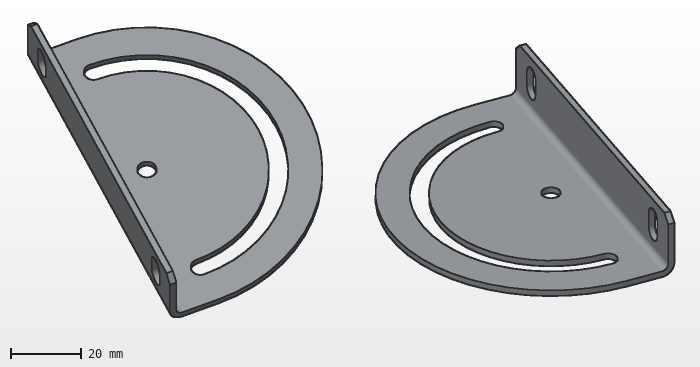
import cadquery as cq
import math

width = 100.0
height = 20.0
thickness = 2.0
inner_bend_radius = 2.0
front_offset = 15.0

pivot_diameter = 5.5
arc_slot_radius = 37.5
arc_slot_width = 5.5

flange_slot_spacing = 80.0
flange_slot_width = 5.5
flange_slot_length = 10.5
flange_slot_height = 11.5
corner_chamfer = 2.5

plate_radius = width / 2
outer_bend_radius = inner_bend_radius + thickness
front_y = -front_offset
bend_y = front_y + outer_bend_radius
diagonal = math.sqrt(0.5)


def make_bent_sheet():
    """L-shaped sheet section with a rounded bend, extruded across the full width."""
    inner_face_y = front_y + thickness
    outer_mid = (bend_y - outer_bend_radius * diagonal, outer_bend_radius * (1 - diagonal))
    inner_mid = (bend_y - inner_bend_radius * diagonal, outer_bend_radius - inner_bend_radius * diagonal)
    return (
        cq.Workplane("YZ", origin=(-width / 2, 0, 0))
        .moveTo(plate_radius, 0)
        .lineTo(bend_y, 0)
        .threePointArc(outer_mid, (front_y, outer_bend_radius))
        .lineTo(front_y, height)
        .lineTo(inner_face_y, height)
        .lineTo(inner_face_y, outer_bend_radius)
        .threePointArc(inner_mid, (bend_y, thickness))
        .lineTo(plate_radius, thickness)
        .close()
        .extrude(width)
    )


def make_plan_envelope():
    """Straight sides up to the arc centre, then a half-round rear edge."""
    return (
        cq.Workplane("XY")
        .moveTo(-plate_radius, front_y)
        .lineTo(plate_radius, front_y)
        .lineTo(plate_radius, 0)
        .threePointArc((0, plate_radius), (-plate_radius, 0))
        .close()
        .extrude(height)
    )


def make_arc_slot():
    """Half-circle slot with round ends, concentric with the pivot hole."""
    end_radius = arc_slot_width / 2
    outer_radius = arc_slot_radius + end_radius
    inner_radius = arc_slot_radius - end_radius
    return (
        cq.Workplane("XY")
        .moveTo(outer_radius, 0)
        .threePointArc((0, outer_radius), (-outer_radius, 0))
        .threePointArc((-arc_slot_radius, -end_radius), (-inner_radius, 0))
        .threePointArc((0, inner_radius), (inner_radius, 0))
        .threePointArc((arc_slot_radius, -end_radius), (outer_radius, 0))
        .close()
        .extrude(thickness)
    )


def make_pivot_hole():
    return cq.Workplane("XY").circle(pivot_diameter / 2).extrude(thickness)


def make_flange_slots():
    """Pair of upright slots through the flange."""
    half_spacing = flange_slot_spacing / 2
    return (
        cq.Workplane("XZ", origin=(0, front_y, 0))
        .pushPoints([(side * half_spacing, flange_slot_height) for side in (-1, 1)])
        .slot2D(flange_slot_length, flange_slot_width, 90)
        .extrude(-thickness)
    )


def chamfer_flange_corners(body):
    """Cut both upper corners of the flange at 45 degrees."""
    top_corners = cq.selectors.BoxSelector(
        (-width, front_y - thickness, height - thickness),
        (width, front_y + 2 * thickness, height + thickness),
    )
    return body.edges("|Y").edges(top_corners).chamfer(corner_chamfer)


sheet = make_bent_sheet().intersect(make_plan_envelope())
sheet = chamfer_flange_corners(sheet)
result = sheet.cut(make_arc_slot()).cut(make_pivot_hole()).cut(make_flange_slots())